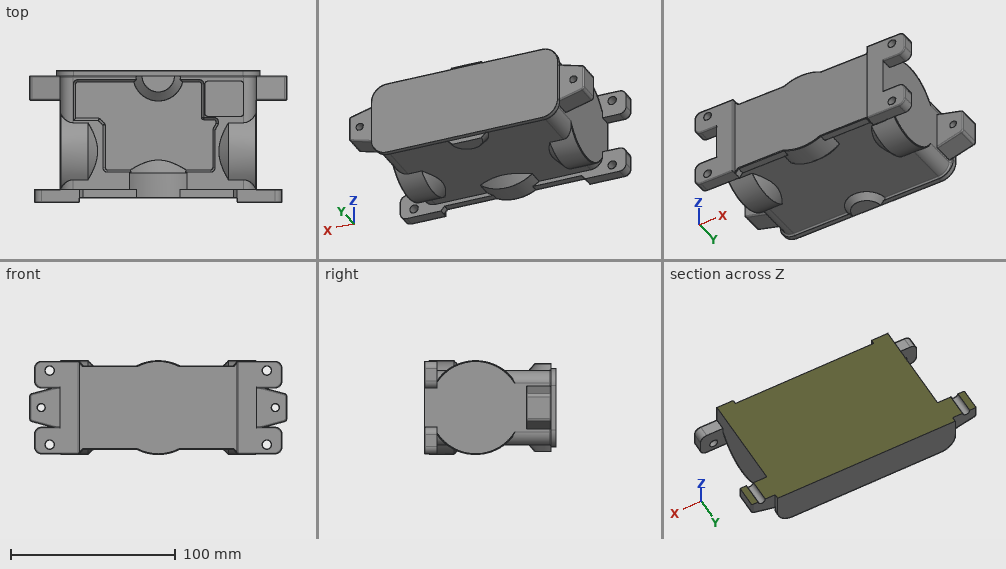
import cadquery as cq
import math

total_depth = 80.0
flange_thickness = 3.1
flange_back = total_depth - flange_thickness
plate_front = 2.7
foot_thickness = 7.8

body_width = 118.9
body_height = 45.2
body_radius = 7.8
flange_width = 123.5
flange_height = 47.6
flange_radius = 10.3
flange_root_radius = 1.0

port_radius = 28.47
port_axis_y = plate_front + port_radius
side_port_start = 42.6
base_port_end = 18.0
edge_chamfer = 0.5

plate_half_height = 25.3
foot_width = 150.0
foot_height = 56.2
foot_inner_x = 47.9
flare_length = 2.3
foot_radius = 4.4
notch_height = 23.7
foot_edge_radius = 0.6
foot_hole_x = 65.8
foot_hole_z = 22.5
foot_hole_diameter = 5.5

ear_tip_x = 78.0
ear_tip_half_height = 8.1
ear_root_half_height = 13.1
ear_length = 15.0
ear_tip_radius = 2.0
ear_edge_radius = 0.8
ear_hole_x = 71.0
ear_hole_diameter = 4.7

lug_top_z = 26.7
lug_top_radius = 9.8
lug_flare = 0.9

panel_left = -51.5
panel_right = 36.5
panel_lower_left = -33.5
panel_lower_right = 34.5
panel_front = 18.4
panel_back = 74.5
panel_step_y = 49.8
panel_step_chamfer = 2.8
panel_notch_x = 27.6
panel_notch_y = 51.6
panel_jog_back = 47.7
panel_jog_front = 44.0
panel_depth = 2.0
panel_wall_run = 1.4
panel_corner_radius = 2.8

badge_x = (28.2, 51.8)
badge_y = (52.3, 73.6)
badge_depth = 0.5
badge_radius = 1.9


def plane_at(y):
    """Workplane parallel to XZ at depth y."""
    return cq.Workplane("XZ", origin=(0, y, 0))


def rounded_block(width, height, radius, y_start, y_end):
    """Block along Y with rounded lengthwise edges."""
    block = plane_at(y_start).rect(width, height).extrude(y_start - y_end)
    return block.edges("|Y").fillet(radius)


def make_body():
    """Solid box closed by the flange, with a small fillet where they meet."""
    body = rounded_block(body_width, body_height, body_radius, plate_front, flange_back)
    flange = rounded_block(flange_width, flange_height, flange_radius, flange_back, total_depth)
    body = body.union(flange)
    margin = 0.2
    half_size = cq.Vector(body_width / 2 + margin, margin, body_height / 2 + margin)
    centre = cq.Vector(0, flange_back, 0)
    root = cq.selectors.BoxSelector(
        (centre - half_size).toTuple(), (centre + half_size).toTuple(), boundingbox=True
    )
    return body.edges(root).fillet(flange_root_radius)


def cut_panel(body):
    """Recess with sloping walls in the upper face."""
    outline = [
        (panel_left, panel_back),
        (panel_notch_x, panel_back),
        (panel_notch_x, panel_notch_y),
        (panel_right, panel_notch_y),
        (panel_right, panel_jog_back),
        (panel_lower_right, panel_jog_front),
        (panel_lower_right, panel_front),
        (panel_lower_left, panel_front),
        (panel_lower_left, panel_step_y - panel_step_chamfer),
        (panel_lower_left - panel_step_chamfer, panel_step_y),
        (panel_left, panel_step_y),
    ]
    rounded_corners = [
        (panel_left, panel_back),
        (panel_notch_x, panel_back),
        (panel_right, panel_notch_y),
        (panel_lower_right, panel_front),
        (panel_lower_left, panel_front),
    ]
    slope = math.degrees(math.atan2(panel_wall_run, panel_depth))
    rounded = cq.Workplane("XY").polyline(outline).close().extrude(panel_depth)
    for x, y in rounded_corners:
        corner = cq.selectors.NearestToPointSelector((x, y, panel_depth / 2))
        rounded = rounded.edges("|Z").edges(corner).fillet(panel_corner_radius)
    wire = rounded.faces("<Z").wires().val().translate(cq.Vector(0, 0, body_height / 2))
    recess = cq.Workplane("XY").add(wire).toPending().extrude(-panel_depth, taper=slope)
    return body.cut(recess)


def cut_badge(body):
    """Shallow rounded rectangle beside the panel."""
    field = (
        cq.Workplane("XY", origin=(sum(badge_x) / 2, sum(badge_y) / 2, body_height / 2))
        .rect(badge_x[1] - badge_x[0], badge_y[1] - badge_y[0])
        .extrude(-badge_depth)
        .edges("|Z")
        .fillet(badge_radius)
    )
    return body.cut(field)


def make_port(length):
    """Cylinder along +X, chamfered at its mouth and ending in a 45 degree cone."""
    half = [
        (0, 0),
        (0, port_radius - edge_chamfer),
        (edge_chamfer, port_radius),
        (length, port_radius),
        (length + port_radius, 0),
    ]
    return cq.Workplane("XY").polyline(half).close().revolve(360, (0, 0, 0), (1, 0, 0))


def add_ports(body):
    """Join the two side ports and the port rising from the base plate."""
    side = make_port(body_width / 2 - side_port_start).translate((-body_width / 2, port_axis_y, 0))
    base = make_port(base_port_end - plate_front).rotate((0, 0, 0), (0, 0, 1), 90)
    base = base.translate((0, plate_front, 0))
    return body.union(side).union(side.mirror("YZ")).union(base)


def make_lugs():
    """Matching cones above and below the body, cut off flush with the flange."""
    centre_radius = lug_top_radius + lug_flare * lug_top_z
    half = [(0, 0), (centre_radius, 0), (lug_top_radius, lug_top_z), (0, lug_top_z)]
    cone = cq.Workplane("XZ").polyline(half).close().revolve(360, (0, 0, 0), (0, 1, 0))
    cones = cone.union(cone.mirror("XY"))
    keep_size = 2 * centre_radius
    keep = cq.Workplane("XY").box(keep_size, keep_size, keep_size + lug_top_z)
    return cones.intersect(keep.translate((0, -keep_size / 2, 0))).translate((0, flange_back, 0))


def make_plate():
    """Base plate whose ends flare out to the height of the feet."""
    flare_x = foot_inner_x - flare_length
    upper = [
        (-foot_inner_x, foot_height / 2),
        (-flare_x, plate_half_height),
        (flare_x, plate_half_height),
        (foot_inner_x, foot_height / 2),
    ]
    lower = [(x, -z) for x, z in reversed(upper)]
    plate = plane_at(plate_front).polyline(upper + lower).close().extrude(plate_front - foot_thickness)
    return plate.faces("<Y").edges("not |Z").chamfer(edge_chamfer)


def make_foot():
    """Foot on the -X side: a bar with two rounded arms, each with a screw hole."""
    outer_x = foot_width / 2
    arm_length = outer_x - body_width / 2
    length = outer_x - foot_inner_x
    foot = (
        plane_at(0)
        .center(-(outer_x + foot_inner_x) / 2, 0)
        .rect(length, foot_height)
        .extrude(-foot_thickness)
    )
    notch = (
        plane_at(0)
        .center(-outer_x + arm_length / 2, 0)
        .rect(arm_length, notch_height)
        .extrude(-foot_thickness)
    )
    holes = (
        plane_at(0)
        .pushPoints([(-foot_hole_x, foot_hole_z), (-foot_hole_x, -foot_hole_z)])
        .circle(foot_hole_diameter / 2)
        .extrude(-foot_thickness)
    )
    foot = foot.cut(notch).edges("|Y and <X").fillet(foot_radius)
    notch_floor = cq.selectors.NearestToPointSelector((-body_width / 2, 0, 0))
    foot = foot.faces("<Y").edges(cq.selectors.InverseSelector(notch_floor)).fillet(foot_edge_radius)
    return foot.cut(holes)


def make_ear():
    """Tapered ear on the -X side, rooted inside the side wall."""
    root_x = body_width / 2
    inside_x = root_x - body_radius / 2
    upper = [
        (-inside_x, ear_root_half_height),
        (-root_x, ear_root_half_height),
        (-ear_tip_x, ear_tip_half_height),
    ]
    lower = [(x, -z) for x, z in reversed(upper)]
    ear = plane_at(flange_back).polyline(upper + lower).close().extrude(ear_length)
    ear = ear.edges("|Y and <X").fillet(ear_tip_radius)
    ear = ear.faces("<Y or >Y").edges("not >X").fillet(ear_edge_radius)
    hole = plane_at(flange_back).center(-ear_hole_x, 0).circle(ear_hole_diameter / 2).extrude(ear_length)
    return ear.cut(hole)


housing = add_ports(cut_badge(cut_panel(make_body())))
housing = housing.union(make_lugs()).union(make_plate())
for end_part in (make_foot(), make_ear()):
    housing = housing.union(end_part).union(end_part.mirror("YZ"))

result = housing